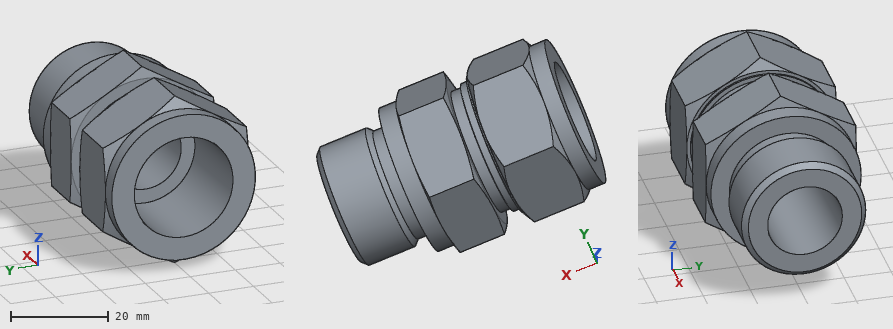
import cadquery as cq
import math


across_flats = 32.0
across_corners = across_flats / math.cos(math.radians(30))

nut_hex_start = 3.5
nut_hex_end = 17.4
washer_end = 17.9
shoulder_end = 19.65
body_hex_start = 22.05
body_hex_end = 33.35
collar_end = 37.2
neck_end = 40.25
total_length = 52.8

washer_diameter = 30.5
shoulder_diameter = 28.5
body_diameter = 27.0
neck_diameter = 24.15
thread_diameter = 26.45
bore_diameter = 15.9
tube_socket_diameter = 21.95

tube_socket_depth = 20.7
thread_chamfer = (thread_diameter - neck_diameter) / 2
nut_chamfer_angle = 30
body_chamfer_angle = 15


def cylinder(start, end, diameter):
    """Solid cylinder on the X axis between two stations."""
    return cq.Workplane("YZ", origin=(start, 0, 0)).circle(diameter / 2).extrude(end - start)


def chamfered_hexagon(start, end, chamfer_angle):
    """Hexagonal prism, corners up and down, with both ends turned to a cone."""
    prism = (
        cq.Workplane("YZ", origin=(start, 0, 0))
        .polygon(6, across_corners)
        .extrude(end - start)
        .rotate((0, 0, 0), (1, 0, 0), 90)
    )
    flat_radius = across_flats / 2
    corner_radius = across_corners / 2
    cone_length = (corner_radius - flat_radius) * math.tan(math.radians(chamfer_angle))
    envelope = (
        cq.Workplane("XY")
        .moveTo(start, 0)
        .lineTo(start, flat_radius)
        .lineTo(start + cone_length, corner_radius)
        .lineTo(end - cone_length, corner_radius)
        .lineTo(end, flat_radius)
        .lineTo(end, 0)
        .close()
        .revolve(360, (0, 0, 0), (1, 0, 0))
    )
    return prism.intersect(envelope)


nut = cylinder(0, nut_hex_start, across_flats)
nut = nut.union(chamfered_hexagon(nut_hex_start, nut_hex_end, nut_chamfer_angle))

rings = cylinder(nut_hex_end, washer_end, washer_diameter)
rings = rings.union(cylinder(washer_end, shoulder_end, shoulder_diameter))
rings = rings.union(cylinder(shoulder_end, body_hex_start, body_diameter))

body = chamfered_hexagon(body_hex_start, body_hex_end, body_chamfer_angle)
body = body.union(cylinder(body_hex_end, collar_end, across_flats))
body = body.union(cylinder(collar_end, neck_end, neck_diameter))

thread = cylinder(neck_end, total_length, thread_diameter).edges().chamfer(thread_chamfer)

bore = cylinder(0, total_length, bore_diameter)
tube_socket = cylinder(0, tube_socket_depth, tube_socket_diameter)

result = nut.union(rings).union(body).union(thread).cut(bore).cut(tube_socket)